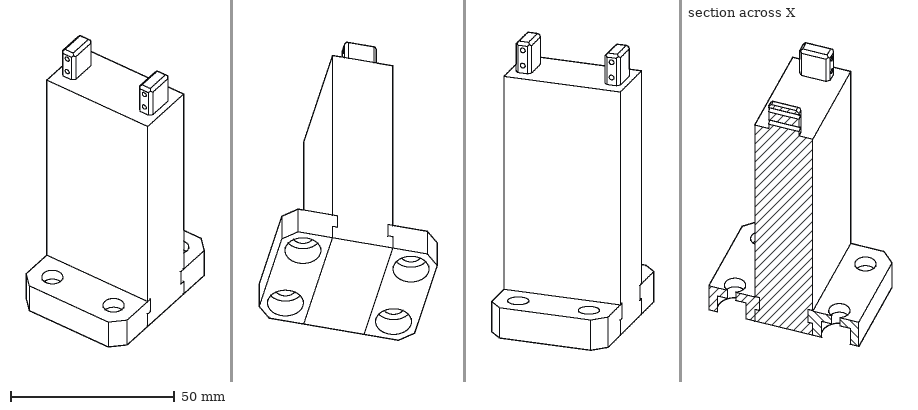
import cadquery as cq

total_height = 90.0
width = 38.0
base_depth = 49.0

tab_width = 5.0
tab_depth = 10.0
tab_height = 10.0
tab_chamfer = 1.0
tab_spacing = 29.0
tab_hole_diameter = 1.5
tab_hole_spacing = tab_height / 2

column_depth = 19.0
column_height = total_height - tab_height
groove_depth = 1.5

clamp_height = 10.0
lip_height = clamp_height / 2
corner_chamfer = 4.1
bolt_hole_diameter = 6.5
counterbore_diameter = 11.0
counterbore_depth = 6.5
bolt_spacing_x = 23.0
bolt_spacing_y = 34.0

sides = (-1, 1)


def make_tab(center_x):
    """Upright tab with chamfered edges and two holes running along Y."""
    block = (
        cq.Workplane("XY", origin=(center_x, 0, column_height))
        .rect(tab_width, tab_depth)
        .extrude(tab_height)
    )
    upright_chamfers = block.edges("|Z").chamfer(tab_chamfer)
    top_chamfers = block.edges(">Z").chamfer(tab_chamfer)
    tab = upright_chamfers.intersect(top_chamfers)
    hole_positions = [(0, side * tab_hole_spacing / 2) for side in sides]
    holes = (
        cq.Workplane("XZ", origin=(center_x, 0, column_height + tab_height / 2))
        .pushPoints(hole_positions)
        .circle(tab_hole_diameter / 2)
        .extrude(tab_depth, both=True)
    )
    return tab.cut(holes)


def make_column():
    """Rectangular column with grooved foot, carrying both tabs."""
    column = cq.Workplane("XY").rect(width, column_depth).extrude(column_height)
    for side in sides:
        groove = (
            cq.Workplane("XY", origin=(0, side * column_depth / 2, clamp_height - lip_height))
            .rect(width, 2 * groove_depth)
            .extrude(lip_height)
        )
        column = column.cut(groove)
    for side in sides:
        column = column.union(make_tab(side * tab_spacing / 2))
    return column


def make_clamp(side):
    """Clamp on the given Y side (-1 or 1), its upper lip filling the column groove."""
    inner_y = side * column_depth / 2
    outer_y = side * base_depth / 2
    lip_y = inner_y - side * groove_depth
    lip_bottom = clamp_height - lip_height
    profile = [
        (inner_y, 0),
        (outer_y, 0),
        (outer_y, clamp_height),
        (lip_y, clamp_height),
        (lip_y, lip_bottom),
        (inner_y, lip_bottom),
    ]
    clamp = cq.Workplane("YZ").polyline(profile).close().extrude(width / 2, both=True)
    outer_face = ">Y" if side > 0 else "<Y"
    clamp = clamp.faces(outer_face).edges("|Z").chamfer(corner_chamfer)
    bolt_positions = [(end * bolt_spacing_x / 2, side * bolt_spacing_y / 2) for end in sides]
    bolt_holes = (
        cq.Workplane("XY")
        .pushPoints(bolt_positions)
        .circle(bolt_hole_diameter / 2)
        .extrude(clamp_height)
    )
    counterbores = (
        cq.Workplane("XY")
        .pushPoints(bolt_positions)
        .circle(counterbore_diameter / 2)
        .extrude(counterbore_depth)
    )
    return clamp.cut(bolt_holes).cut(counterbores)


column = make_column()
clamps = [make_clamp(side) for side in sides]

result = cq.Compound.makeCompound([column.val(), *[clamp.val() for clamp in clamps]])